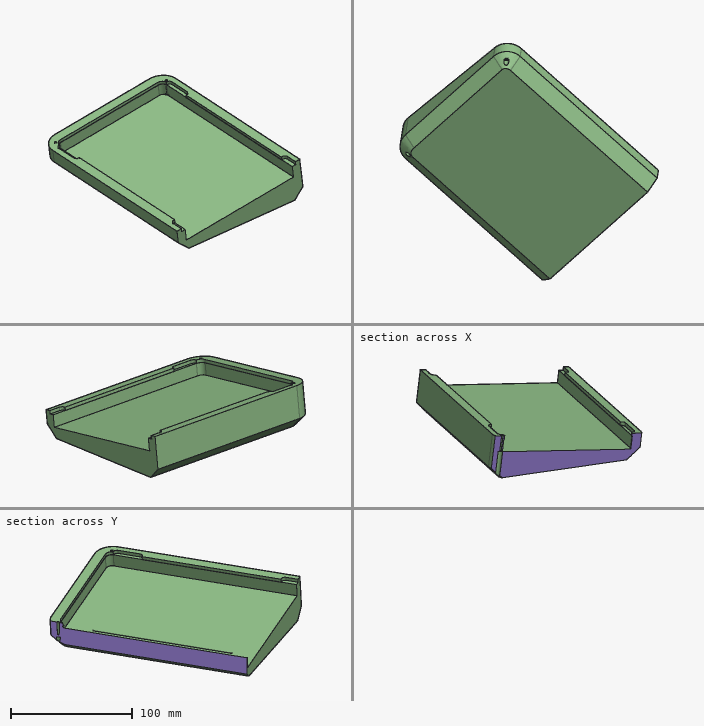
import cadquery as cq
import math

length = 174.3
height = 38.0
tilt = 7.0
frame_width = 132.1
outer_radius = 15.3
base_chamfer = 10.0

end_rim_width = 8.9
side_rim_width = 8.7
pocket_depth = 13.8
lip_height = 3.0
lip_overhang = 0.26
pocket_radius = 5.0

slot_depth = lip_height
slot_radius = 3.0
closed_slot_start = 13.8
closed_slot_length = 25.1
closed_slot_reach = 3.5
open_slot_start = 160.9
open_slot_reach = 4.0

hole_diameter = 2.0
bore_diameter = 4.0
bore_top_depth = pocket_depth
low_hole_inset = (8.7, 8.5)
high_hole_inset = (12.0, 7.1)

slope = math.radians(tilt)
half_width = frame_width / 2
lip_half_span = half_width - side_rim_width
left_end = -length / 2
right_end = length / 2
overlap = 5.2
through_depth = 2 * height

lean = (height - base_chamfer) * math.tan(slope)
rim_middle = (0, -lean / 2, height - half_width * math.sin(slope))

rim = cq.Plane(
    origin=rim_middle,
    xDir=(1, 0, 0),
    normal=(0, -math.sin(slope), math.cos(slope)),
)
square_to_rim = cq.selectors.ParallelDirSelector(rim.zDir)

hole_centres = [
    (left_end + low_hole_inset[0], -half_width + low_hole_inset[1]),
    (left_end + high_hole_inset[0], half_width - high_hole_inset[1]),
]


def sunk_block(x_start, x_end, half_span, depth):
    """Block centred across the slope, reaching from the rim plane down to a depth."""
    return (
        cq.Workplane(rim)
        .center((x_start + x_end) / 2, 0)
        .rect(x_end - x_start, 2 * half_span)
        .extrude(-depth)
    )


def make_body():
    """Wedge with leaning walls and a flat base, chamfered all round except at the +X end."""
    walls = sunk_block(left_end, right_end, half_width, through_depth)
    walls = walls.faces("<X").edges(square_to_rim).fillet(outer_radius)
    above_base = cq.Workplane().box(2 * length, 2 * length, through_depth, centered=(True, True, False))
    wedge = walls.intersect(above_base)
    return wedge.faces("<Z").edges("not(>X)").chamfer(base_chamfer)


def make_recess(undercut, depth):
    """Recess with rounded corners at its closed end, widened under the lip by the undercut."""
    recess = sunk_block(
        left_end + end_rim_width - undercut,
        right_end + overlap,
        lip_half_span + undercut,
        depth,
    )
    return recess.faces("<X").edges(square_to_rim).fillet(pocket_radius)


def make_pocket():
    """Tray pocket: an opening inside the lip and a slightly wider recess below it."""
    opening = make_recess(0, lip_height)
    lip_layer = sunk_block(-length, length, frame_width, lip_height)
    lower_recess = make_recess(lip_overhang, pocket_depth).cut(lip_layer)
    return opening.union(lower_recess)


def make_slot_pair(x_start, x_end, reach):
    """Facing slots in both side rims, cut as one block across the pocket."""
    block = sunk_block(x_start, x_end, lip_half_span + reach, slot_depth)
    return block.edges(square_to_rim).fillet(slot_radius)


def make_holes(diameter, top_depth):
    """Both corner holes, from a depth below the rim down through the base."""
    return (
        cq.Workplane(rim)
        .workplane(offset=-top_depth)
        .pushPoints(hole_centres)
        .circle(diameter / 2)
        .extrude(-through_depth)
    )


closed_slot_left = left_end + closed_slot_start
closed_slots = make_slot_pair(closed_slot_left, closed_slot_left + closed_slot_length, closed_slot_reach)
open_slots = make_slot_pair(left_end + open_slot_start, right_end + overlap, open_slot_reach)

result = (
    make_body()
    .cut(make_pocket())
    .cut(closed_slots)
    .cut(open_slots)
    .cut(make_holes(hole_diameter, 0))
    .cut(make_holes(bore_diameter, bore_top_depth))
)